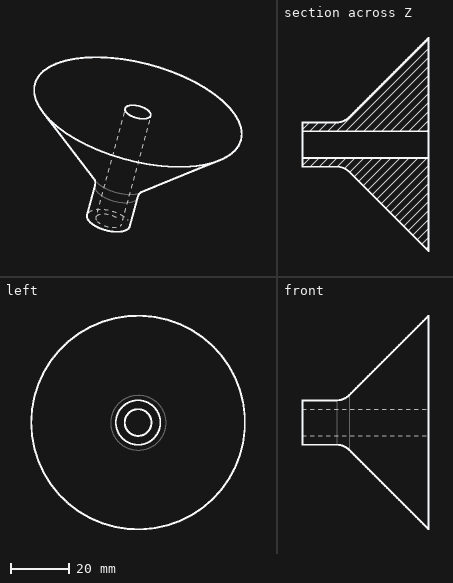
import cadquery as cq
import math

total_length = 43.3
rim_radius = 36.6
neck_radius = 7.6
neck_length = 11.7
bore_radius = 4.55
flare_angle = math.radians(45)

corner_x = total_length - (rim_radius - neck_radius) / math.tan(flare_angle)

tangent_length = corner_x - neck_length
blend_radius = tangent_length / math.tan(flare_angle / 2)
blend_center_r = neck_radius + blend_radius


def blend_point(turn):
    """Point on the blend arc after turning by an angle from the neck."""
    return (
        neck_length + blend_radius * math.sin(turn),
        blend_center_r - blend_radius * math.cos(turn),
    )


half_section = (
    cq.Workplane("XY")
    .moveTo(0, bore_radius)
    .lineTo(0, neck_radius)
    .lineTo(neck_length, neck_radius)
    .threePointArc(blend_point(flare_angle / 2), blend_point(flare_angle))
    .lineTo(total_length, rim_radius)
    .lineTo(total_length, bore_radius)
    .close()
)

result = half_section.revolve(360, (0, 0, 0), (1, 0, 0))